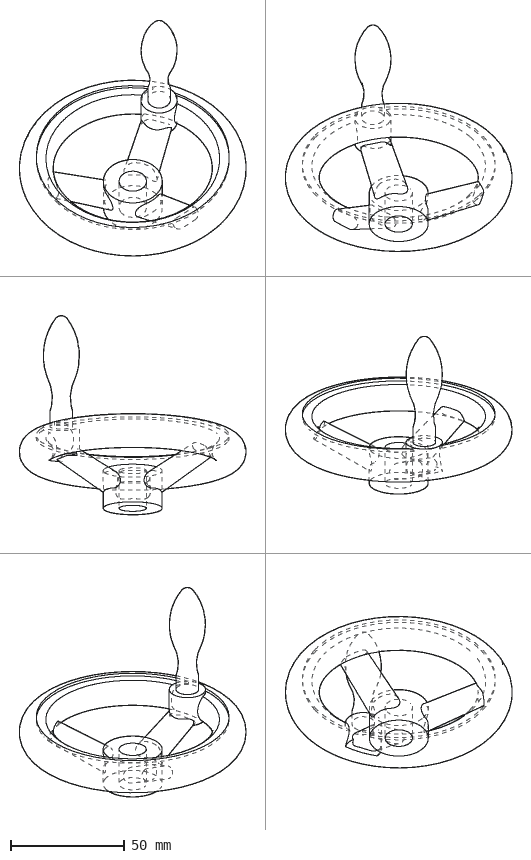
import cadquery as cq
import math

rim_outer_radius = 50.0
rim_tube_radius = 7.5
rim_center_radius = rim_outer_radius - rim_tube_radius
rim_mid_height = 25.5
rim_top = rim_mid_height + rim_tube_radius
rim_step_depth = 1.3

hub_radius = 13.0
hub_height = 17.0
bore_radius = 6.0

spoke_count = 3
spoke_first_angle = 90.0
spoke_start_height = 5.0
spoke_flat_width = 8.2
spoke_start_edge_radius = 3.9
spoke_end_edge_radius = 2.7

handle_position_y = 36.0
boss_radius = 8.0
boss_height = 14.0
boss_bottom = rim_top - boss_height

stem_radius = 5.0
stem_top = 40.0
neck_radius = 4.0
neck_height = 46.0
grip_radius = 8.0
grip_height = 65.0
handle_top = 83.0


def make_rim():
    ring = cq.Workplane("XY").add(
        cq.Solid.makeTorus(rim_center_radius, rim_tube_radius, cq.Vector(0, 0, rim_mid_height))
    )
    step_cutter = (
        cq.Workplane("XY")
        .workplane(offset=rim_top - rim_step_depth)
        .circle(rim_center_radius)
        .extrude(2 * rim_step_depth)
    )
    return ring.cut(step_cutter)


def make_spoke(angle):
    """Spoke lofted between two slot sections square to its sloping axis."""
    rise = rim_mid_height - spoke_start_height
    length = math.hypot(rim_center_radius, rise)
    section_plane = cq.Plane(
        origin=(0, 0, spoke_start_height),
        xDir=(0, 1, 0),
        normal=(rim_center_radius, 0, rise),
    )
    start_width = spoke_flat_width + 2 * spoke_start_edge_radius
    end_width = spoke_flat_width + 2 * spoke_end_edge_radius
    spoke = (
        cq.Workplane(section_plane)
        .slot2D(start_width, 2 * spoke_start_edge_radius)
        .workplane(offset=length)
        .slot2D(end_width, 2 * spoke_end_edge_radius)
        .loft(ruled=True)
    )
    return spoke.rotate((0, 0, 0), (0, 0, 1), angle)


def make_boss():
    return (
        cq.Workplane("XY")
        .workplane(offset=boss_bottom)
        .center(0, handle_position_y)
        .circle(boss_radius)
        .extrude(boss_height)
    )


def point_on_circle(center, radius, angle):
    return (center[0] + radius * math.cos(angle), center[1] + radius * math.sin(angle))


def make_handle():
    """Handle revolved from a profile of (radius, height) points with tangent arcs."""
    flare_height = neck_height - stem_top
    flare_width = stem_radius - neck_radius
    neck_arc_radius = (flare_height**2 + flare_width**2) / (2 * flare_width)
    neck_center = (neck_radius + neck_arc_radius, neck_height)

    swell = grip_radius - neck_radius
    swell_height = grip_height - neck_height
    grip_arc_radius = (swell_height**2 + swell**2) / (2 * swell) - neck_arc_radius
    grip_center = (grip_radius - grip_arc_radius, grip_height)

    tip_height = handle_top - grip_height
    tip_radius = (grip_arc_radius**2 - grip_center[0] ** 2 - tip_height**2) / (
        2 * (grip_arc_radius - tip_height)
    )
    tip_center = (0, handle_top - tip_radius)

    neck_angle = math.atan2(grip_height - neck_height, neck_center[0] - grip_center[0])
    tip_angle = math.atan2(tip_center[1] - grip_center[1], -grip_center[0])

    stem_edge = (stem_radius, stem_top)
    flare_angle = math.pi + math.asin(flare_height / neck_arc_radius) / 2
    flare_middle = point_on_circle(neck_center, neck_arc_radius, flare_angle)
    neck_waist = (neck_radius, neck_height)
    neck_middle = point_on_circle(neck_center, neck_arc_radius, math.pi - neck_angle / 2)
    grip_start = point_on_circle(grip_center, grip_arc_radius, -neck_angle)
    grip_widest = (grip_radius, grip_height)
    grip_end = point_on_circle(grip_center, grip_arc_radius, tip_angle)
    tip_middle = point_on_circle(tip_center, tip_radius, (tip_angle + math.pi / 2) / 2)

    profile = (
        cq.Workplane("XZ")
        .moveTo(0, rim_mid_height)
        .lineTo(stem_radius, rim_mid_height)
        .lineTo(*stem_edge)
        .threePointArc(flare_middle, neck_waist)
        .threePointArc(neck_middle, grip_start)
        .threePointArc(grip_widest, grip_end)
        .threePointArc(tip_middle, (0, handle_top))
        .close()
    )
    handle = profile.revolve(360, (0, 0, 0), (0, 1, 0))
    return handle.translate((0, handle_position_y, 0))


def make_handwheel():
    wheel = cq.Workplane("XY").circle(hub_radius).extrude(hub_height)
    for index in range(spoke_count):
        wheel = wheel.union(make_spoke(spoke_first_angle + index * 360 / spoke_count))
    wheel = wheel.union(make_rim())
    wheel = wheel.union(make_boss())
    wheel = wheel.union(make_handle())
    bore = cq.Workplane("XY").circle(bore_radius).extrude(hub_height)
    return wheel.cut(bore)


result = make_handwheel()